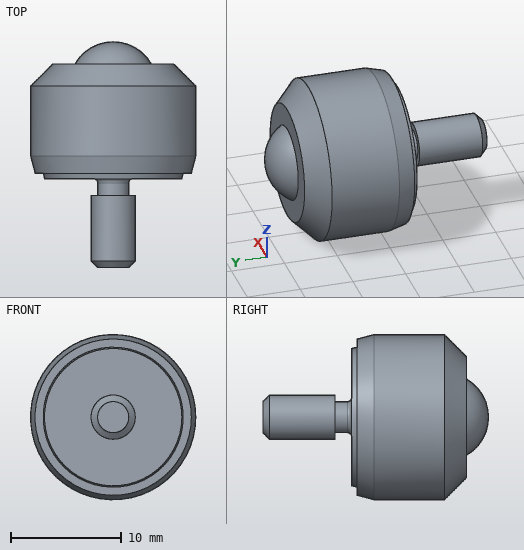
import cadquery as cq
import math

total_length = 20.5
stud_chamfer = 0.6
stud_length = 6.55
neck_length = 1.5
lip_length = 0.5
taper_length = 1.55
shoulder_length = 2.0
ball_protrusion = 2.0

body_radius = 7.5
taper_radius = 7.1
lip_front_radius = 6.35
lip_back_radius = 6.23
stud_radius = 2.0
neck_radius = 1.41
neck_fillet = 0.37
ball_radius = 4.0
face_radius = body_radius - shoulder_length

tip_y = -total_length / 2
stud_end_y = tip_y + stud_length
lip_y = stud_end_y + neck_length
taper_y = lip_y + lip_length
body_y = taper_y + taper_length
face_y = total_length / 2 - ball_protrusion
shoulder_y = face_y - shoulder_length
ball_center_y = total_length / 2 - ball_radius


def revolve_about_y(profile):
    return profile.close().revolve(360, (0, 0, 0), (0, 1, 0))


def make_housing():
    """Housing with rear lip and taper, and the front conical shoulder."""
    return revolve_about_y(
        cq.Workplane("XY")
        .moveTo(0, lip_y)
        .lineTo(lip_back_radius, lip_y)
        .lineTo(lip_front_radius, taper_y)
        .lineTo(taper_radius, taper_y)
        .lineTo(body_radius, body_y)
        .lineTo(body_radius, shoulder_y)
        .lineTo(face_radius, face_y)
        .lineTo(0, face_y)
    )


def make_stud():
    """Chamfered stud with an undercut neck, filleted where it meets the housing."""
    arc_offset = neck_fillet * (1 - math.sqrt(0.5))
    return revolve_about_y(
        cq.Workplane("XY")
        .moveTo(0, tip_y)
        .lineTo(stud_radius - stud_chamfer, tip_y)
        .lineTo(stud_radius, tip_y + stud_chamfer)
        .lineTo(stud_radius, stud_end_y)
        .lineTo(neck_radius, stud_end_y)
        .lineTo(neck_radius, lip_y - neck_fillet)
        .threePointArc(
            (neck_radius + arc_offset, lip_y - arc_offset),
            (neck_radius + neck_fillet, lip_y),
        )
        .lineTo(0, lip_y)
    )


ball = cq.Workplane("XY").sphere(ball_radius).translate((0, ball_center_y, 0))

result = make_housing().union(make_stud()).union(ball)